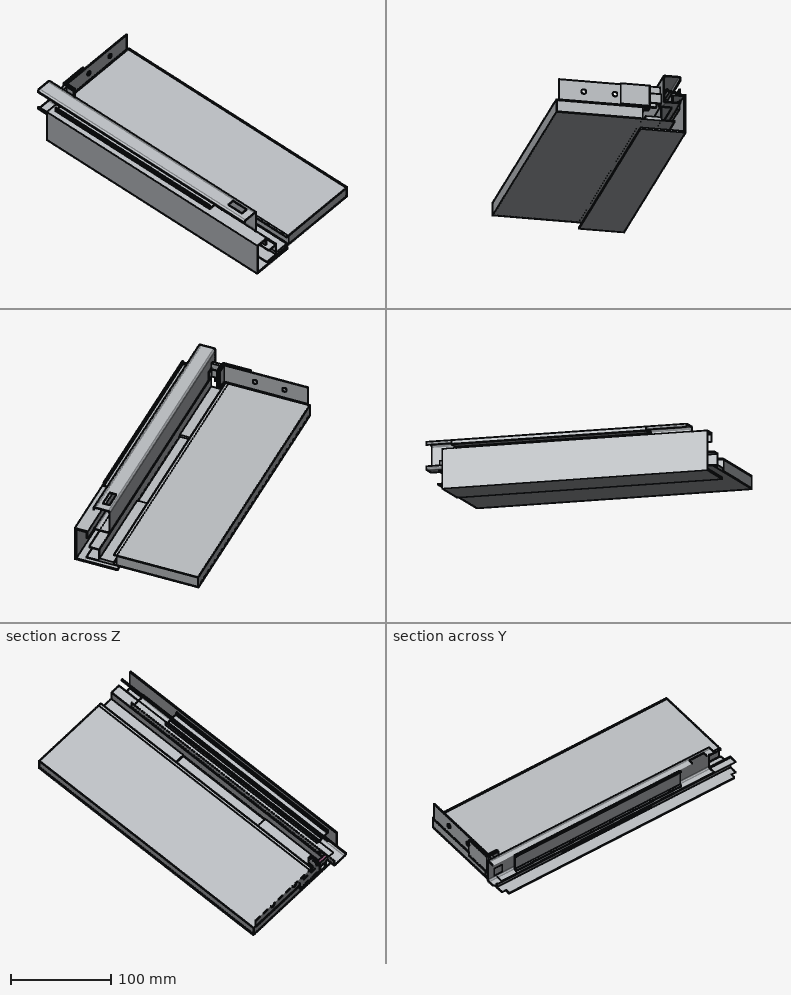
import cadquery as cq
TOTAL_LENGTH = 301.5
TOTAL_WIDTH = 134.5
TOTAL_HEIGHT = 51.5

SHEET = 1.0
HEAVY_SHEET = 1.8

COVER_X0 = 20.2
COVER_X1 = 300.0
COVER_HEIGHT = 40.7
COVER_FOOT_WIDTH = 46.0
COVER_TOP_WIDTH = 14.2
COVER_LIP_Z = 31.7

RAIL_LENGTH = 274.7
RAIL_BACK_Y = 27.5
RAIL_FRONT_Y = 9.3
RAIL_BOTTOM_Z = 22.5
RAIL_BEND = 2.0
INNER_BEND = 1.5
RAIL_LIP = 3.5
WINDOW_X0 = 247.5
WINDOW_LENGTH = 18.0
WINDOW_Y0 = 16.0
WINDOW_WIDTH = 7.2

INNER_X0 = 28.5
INNER_LENGTH = 205.3
INNER_BACK_Y = 21.5
INNER_MID_Z = 37.0
WEB_HALF_HEIGHT = 9.0
FLANGE_INSIDE = 8.0
RACE_PEAK_Y = 17.0
RACE_END_Y = 14.8
RACE_RISE = 1.8
THICK_FLANGE_Y = 13.0
UPPER_LIP_Y = 3.3
UPPER_LIP_TOP = 49.7
LOWER_LIP_Y = 4.2
LOWER_LIP_TOP = 36.2

TRAY_X0 = 11.2
TRAY_BOTTOM_Z = 7.2
TRAY_TOP_Z = 20.8
TRAY_FLOOR_Y = 13.0
TRAY_TOP_Y = 42.8
FLANGE_Y = 16.0
FOOT_HEIGHT = 3.5
FOOT_RECESS_X0 = 93.0
FOOT_RECESS_LENGTH = 111.0

BOARD_Y0 = 45.8

PLATE_TOP_Z = 42.5
PLATE_END_Y = 131.8
PLATE_FLANGE_Y = 40.5
PLATE_FLANGE_X1 = 21.7
HOLE_DIAMETER = 4.8
HOLE_Z = 31.5
HOLE_Y0 = 74.5
HOLE_SPACING = 32.0
HOLE_COUNT = 2

BACKING_X0 = 7.5
BACKING_Y0 = 39.0
BACKING_Y1 = 69.0
BACKING_FLANGE_X1 = 21.7

BRACKET_MIDDLE_BOTTOM_Z = 24.7
BRACKET_MIDDLE_TOP_Z = 34.7
BRACKET_MIDDLE_X1 = 12.5
BRACKET_X1 = 13.3
BRACKET_FOOT_Y = 32.3
BRACKET_TAB_X1 = 18.7
BRACKET_FLANGE_X1 = 21.7


def box(x0, x1, y0, y1, z0, z1):
    """Box between two opposite corners."""
    return cq.Workplane("XY").box(x1 - x0, y1 - y0, z1 - z0, centered=False).translate((x0, y0, z0))


def extrude_profile(points, x0, x1):
    """Extrude a closed (y, z) outline from x0 to x1."""
    return cq.Workplane("YZ", origin=(x0, 0, 0)).polyline(points).close().extrude(x1 - x0)


def make_cover():
    t = HEAVY_SHEET
    outline = [
        (COVER_FOOT_WIDTH, 0),
        (0, 0),
        (0, COVER_HEIGHT),
        (COVER_TOP_WIDTH, COVER_HEIGHT),
        (COVER_TOP_WIDTH, COVER_LIP_Z),
        (COVER_TOP_WIDTH - t, COVER_LIP_Z),
        (COVER_TOP_WIDTH - t, COVER_HEIGHT - t),
        (t, COVER_HEIGHT - t),
        (t, t),
        (COVER_FOOT_WIDTH, t),
    ]
    return extrude_profile(outline, COVER_X0, COVER_X1)


def make_outer_rail():
    middle_y = (RAIL_FRONT_Y + RAIL_BACK_Y) / 2
    tube = box(0, RAIL_LENGTH, RAIL_FRONT_Y, RAIL_BACK_Y, RAIL_BOTTOM_Z, TOTAL_HEIGHT)
    tube = tube.edges("|X").fillet(RAIL_BEND)
    bore = box(
        0, RAIL_LENGTH,
        RAIL_FRONT_Y + SHEET, RAIL_BACK_Y - SHEET,
        RAIL_BOTTOM_Z + SHEET, TOTAL_HEIGHT - SHEET,
    ).edges("|X").fillet(INNER_BEND)
    mouth = box(
        0, RAIL_LENGTH,
        RAIL_FRONT_Y, middle_y,
        RAIL_BOTTOM_Z + RAIL_LIP, TOTAL_HEIGHT - RAIL_LIP,
    )
    window = box(
        WINDOW_X0, WINDOW_X0 + WINDOW_LENGTH,
        WINDOW_Y0, WINDOW_Y0 + WINDOW_WIDTH,
        TOTAL_HEIGHT - SHEET, TOTAL_HEIGHT,
    )
    return tube.cut(bore).cut(mouth).cut(window)


def flange_path(side, lip):
    """Outline of one flange from the web's outer corner round the lip to the web's inner corner.

    side is +1 for the upper flange and -1 for the lower one; lip lists the points of its lip.
    """
    web_front_y = INNER_BACK_Y - HEAVY_SHEET
    inside = INNER_MID_Z + side * FLANGE_INSIDE
    outside = inside + side * HEAVY_SHEET
    thin_outside = inside + side * SHEET
    return [
        (INNER_BACK_Y, INNER_MID_Z + side * WEB_HALF_HEIGHT),
        (web_front_y, outside),
        (RACE_PEAK_Y, outside + side * RACE_RISE),
        (RACE_END_Y, outside),
        (THICK_FLANGE_Y, outside),
        (THICK_FLANGE_Y, thin_outside),
        *lip,
        (RACE_END_Y, inside),
        (RACE_PEAK_Y, inside + side * RACE_RISE),
        (web_front_y, inside),
    ]


def make_inner_rail():
    upper_inside = INNER_MID_Z + FLANGE_INSIDE
    lower_inside = INNER_MID_Z - FLANGE_INSIDE
    upper_lip = [
        (UPPER_LIP_Y + SHEET, upper_inside + SHEET),
        (UPPER_LIP_Y + SHEET, UPPER_LIP_TOP),
        (UPPER_LIP_Y, UPPER_LIP_TOP),
        (UPPER_LIP_Y, upper_inside),
    ]
    lower_lip = [
        (LOWER_LIP_Y, lower_inside - SHEET),
        (LOWER_LIP_Y, LOWER_LIP_TOP),
        (LOWER_LIP_Y + HEAVY_SHEET, LOWER_LIP_TOP),
        (LOWER_LIP_Y + HEAVY_SHEET, lower_inside),
    ]
    outline = flange_path(1, upper_lip) + flange_path(-1, lower_lip)[::-1]
    return extrude_profile(outline, INNER_X0, INNER_X0 + INNER_LENGTH)


def make_tray():
    web_y = RAIL_BACK_Y - SHEET
    foot_z = TRAY_BOTTOM_Z + FOOT_HEIGHT
    floor_z = TRAY_BOTTOM_Z + SHEET
    outline = [
        (TRAY_FLOOR_Y, TRAY_BOTTOM_Z),
        (TOTAL_WIDTH, TRAY_BOTTOM_Z),
        (TOTAL_WIDTH, TRAY_TOP_Z),
        (TRAY_TOP_Y, TRAY_TOP_Z),
        (TRAY_TOP_Y, TRAY_TOP_Z - SHEET),
        (TOTAL_WIDTH - SHEET, TRAY_TOP_Z - SHEET),
        (TOTAL_WIDTH - SHEET, floor_z),
        (TRAY_TOP_Y, floor_z),
        (TRAY_TOP_Y, foot_z),
        (RAIL_BACK_Y, foot_z),
        (RAIL_BACK_Y, RAIL_BOTTOM_Z),
        (FLANGE_Y, RAIL_BOTTOM_Z),
        (FLANGE_Y, RAIL_BOTTOM_Z - SHEET),
        (web_y, RAIL_BOTTOM_Z - SHEET),
        (web_y, floor_z),
        (TRAY_FLOOR_Y, floor_z),
    ]
    tray = extrude_profile(outline, TRAY_X0, TOTAL_LENGTH)
    recess = box(
        FOOT_RECESS_X0, FOOT_RECESS_X0 + FOOT_RECESS_LENGTH,
        RAIL_BACK_Y, TRAY_TOP_Y,
        floor_z, foot_z,
    )
    return tray.cut(recess)


def make_board():
    return box(
        TRAY_X0, TOTAL_LENGTH,
        BOARD_Y0, TOTAL_WIDTH - SHEET,
        TRAY_BOTTOM_Z + SHEET, TRAY_TOP_Z - SHEET,
    )


def make_end_plate():
    x0 = TRAY_X0 - SHEET
    plate = box(x0, TRAY_X0, PLATE_FLANGE_Y, PLATE_END_Y, TRAY_TOP_Z, PLATE_TOP_Z)
    flange = box(
        TRAY_X0, PLATE_FLANGE_X1,
        PLATE_FLANGE_Y, PLATE_FLANGE_Y + SHEET,
        TRAY_TOP_Z, PLATE_TOP_Z,
    )
    holes = (
        cq.Workplane("YZ", origin=(x0, 0, 0))
        .pushPoints([(HOLE_Y0 + i * HOLE_SPACING, HOLE_Z) for i in range(HOLE_COUNT)])
        .circle(HOLE_DIAMETER / 2)
        .extrude(SHEET)
    )
    return plate.union(flange).cut(holes)


def make_backing_plate():
    plate = box(BACKING_X0, BACKING_X0 + SHEET, BACKING_Y0, BACKING_Y1, TRAY_TOP_Z, PLATE_TOP_Z)
    flange = box(
        BACKING_X0, BACKING_FLANGE_X1,
        BACKING_Y0, BACKING_Y0 + SHEET,
        TRAY_TOP_Z, PLATE_TOP_Z,
    )
    return plate.union(flange)


def make_corner_bracket():
    front_x = BACKING_X0 + SHEET
    recessed_x = TRAY_X0 - SHEET
    tab_y1 = RAIL_BACK_Y + SHEET
    middle_z = (BRACKET_MIDDLE_BOTTOM_Z, BRACKET_MIDDLE_TOP_Z)
    middle = box(front_x, BRACKET_MIDDLE_X1, RAIL_BACK_Y, BACKING_Y0, *middle_z)
    tab = box(BRACKET_MIDDLE_X1, BRACKET_TAB_X1, RAIL_BACK_Y, tab_y1, *middle_z)
    upper = box(recessed_x, BRACKET_X1, tab_y1, BACKING_Y0, BRACKET_MIDDLE_TOP_Z, PLATE_TOP_Z)
    foot = box(recessed_x, BRACKET_X1, BRACKET_FOOT_Y, BACKING_Y0, TRAY_TOP_Z, BRACKET_MIDDLE_BOTTOM_Z)
    flange = box(
        recessed_x, BRACKET_FLANGE_X1,
        BACKING_Y0 - SHEET, BACKING_Y0,
        TRAY_TOP_Z, PLATE_TOP_Z,
    )
    return middle.union(tab).union(upper).union(foot).union(flange)


cover = make_cover()
outer_rail = make_outer_rail()
inner_rail = make_inner_rail()
tray = make_tray()
board = make_board()
end_plate = make_end_plate()
corner_bracket = make_corner_bracket()
backing_plate = make_backing_plate()

result = cq.Compound.makeCompound([
    cover.val(),
    outer_rail.val(),
    inner_rail.val(),
    tray.val(),
    board.val(),
    end_plate.val(),
    corner_bracket.val(),
    backing_plate.val(),
])